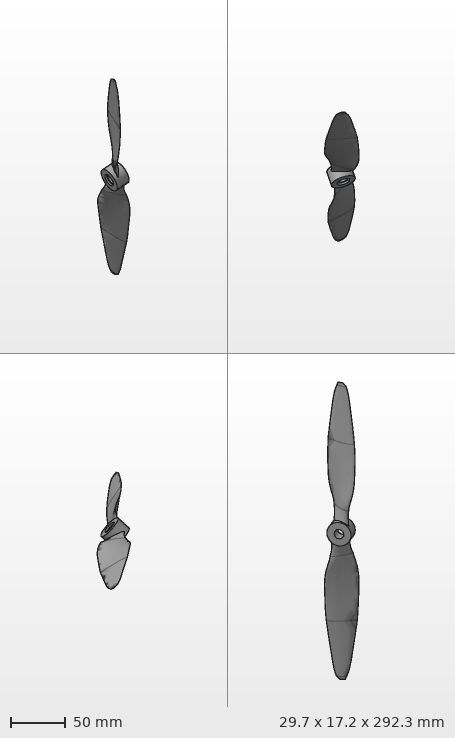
import cadquery as cq
import math


tip_radius = 146.14
pitch = 152.4
hub_diameter = 23.0
hub_front = -5.6
hub_back = 8.57
bore_diameter = 9.0
recess_diameter = 12.0
recess_depth = 2.0

root_radius = 7.5
neck_radius = 14.0
shank_radius = 23.3
mid_radius = 88.0
cap_radius = 143.0

inner_widths = [23.4, 28.0, 29.2, 29.2, 28.9]
inner_thicknesses = [4.0, 3.8, 3.6, 3.4, 3.2]
outer_widths = [24.9, 22.0, 18.9, 15.6]
outer_thicknesses = [2.7, 2.4, 2.0, 1.7]
panel_shift = 0.25

front_share = 0.3
section_points = 24


def pitch_angle(radius):
    """Blade angle in degrees that gives the constant pitch at this radius."""
    return math.degrees(math.atan(pitch / (2 * math.pi * radius)))


def section(radius, width, thickness, angle=None, shift_x=0.0, shift_y=0.0):
    """Airfoil with its round nose toward -X, +Y and a sharp tail toward +X, -Y.

    Width is the extent along X, so the chord grows with the blade angle. The -Y face
    bulges less than the +Y face.
    """
    if angle is None:
        angle = pitch_angle(radius)
    tilt = math.radians(angle)
    half_chord = width / (2 * math.cos(tilt))
    peak = math.sqrt(8 / 9) * math.sqrt(4 / 3)
    points = []
    for i in range(section_points + 1):
        u = -math.pi + 2 * math.pi * i / section_points
        along = half_chord * math.cos(u)
        bulge = math.sin(u) * math.sqrt(max(0.0, 1 + math.cos(u))) / peak
        face_share = front_share if bulge < 0 else 1 - front_share
        across = thickness * face_share * bulge
        x = shift_x - along * math.cos(tilt) + across * math.sin(tilt)
        y = shift_y + along * math.sin(tilt) + across * math.cos(tilt)
        points.append(cq.Vector(x, y, radius))
    points[-1] = points[0]
    outline = cq.Edge.makeSpline(points)
    return cq.Wire.assembleEdges([outline])


def panel_sections(start, end, widths, thicknesses):
    """Sections at evenly spaced radii strictly between the two ends of a blade panel."""
    step = (end - start) / (len(widths) + 1)
    sections = []
    for i, (width, thickness) in enumerate(zip(widths, thicknesses), start=1):
        sections.append(section(start + i * step, width, thickness, shift_x=panel_shift))
    return sections


def make_blade():
    """The +Z blade as shank, inner panel, outer panel and tip cap."""
    root = section(root_radius, width=16.5, thickness=5.5, angle=22.0, shift_x=-0.2, shift_y=2.0)
    neck = section(neck_radius, width=15.5, thickness=4.4, angle=27.0, shift_x=-0.15, shift_y=1.2)
    shank_end = section(shank_radius, width=18.2, thickness=3.6, angle=37.5, shift_x=0.2)
    mid = section(mid_radius, width=27.6, thickness=3.0, shift_x=panel_shift)
    cap_start = section(cap_radius, width=9.2, thickness=1.5)
    tip = section(tip_radius, width=5.0, thickness=0.8, shift_x=1.0)

    shank = [root, neck, shank_end]
    inner_panel = [
        shank_end,
        *panel_sections(shank_radius, mid_radius, inner_widths, inner_thicknesses),
        mid,
    ]
    outer_panel = [
        mid,
        *panel_sections(mid_radius, cap_radius, outer_widths, outer_thicknesses),
        cap_start,
    ]
    tip_cap = [cap_start, tip]

    blade = cq.Workplane(cq.Solid.makeLoft(shank))
    for panel in (inner_panel, outer_panel, tip_cap):
        blade = blade.union(cq.Workplane(cq.Solid.makeLoft(panel)))
    return blade


def disc(diameter, start, end):
    """Cylinder about the Y axis between two Y positions, with its seam toward +Z."""
    start_plane = cq.Plane(origin=(0, start, 0), xDir=(0, 0, 1), normal=(0, 1, 0))
    return cq.Workplane(start_plane).circle(diameter / 2).extrude(end - start)


blade = make_blade()
opposite_blade = blade.rotate((0, 0, 0), (0, 1, 0), 180)
hub = disc(hub_diameter, hub_front, hub_back)
bore = disc(bore_diameter, hub_front, hub_back)
recess = disc(recess_diameter, hub_front, hub_front + recess_depth)

result = hub.union(blade).union(opposite_blade).cut(bore).cut(recess)